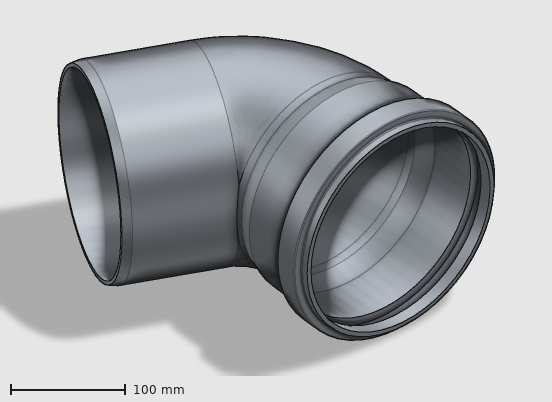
import cadquery as cq

BEND_ANGLE = 67.5
BEND_RADIUS = 95.0
PIPE_RADIUS = 200.5 / 2
PIPE_BORE_RADIUS = 189.5 / 2

SPIGOT_LENGTH = 107.5
CHAMFER_LENGTH = 9.0
CHAMFER_DEPTH = 2.0

SOCKET_RADIUS = 209.5 / 2
SOCKET_BORE_RADIUS = 201.0 / 2
RING_RADIUS = 225.8 / 2
GROOVE_RADIUS = 217.0 / 2
COLLAR_LENGTH = 9.5
FLARE_LENGTH = 16.5
BODY_LENGTH = 49.0
RING_LENGTH = 23.3
LIP_LENGTH = 8.0
INNER_FLARE_LENGTH = 20.5
RING_FILLET = 1.0

flare_start = COLLAR_LENGTH
flare_end = flare_start + FLARE_LENGTH
inner_flare_end = flare_start + INNER_FLARE_LENGTH
ring_start = flare_end + BODY_LENGTH
ring_end = ring_start + RING_LENGTH
socket_end = ring_end + LIP_LENGTH
socket_wall = SOCKET_RADIUS - SOCKET_BORE_RADIUS
groove_start = ring_start + socket_wall
groove_end = ring_end - socket_wall


def turned(profile):
    """Revolve a (radius, station) profile about the Y axis, closing it on the axis."""
    points = [(0, profile[0][1])] + profile + [(0, profile[-1][1])]
    return cq.Workplane("XY").polyline(points).close().revolve(360, (0, 0), (0, 1))


def spigot(profile):
    """Turned body ending at the start of the bend, where Y is zero."""
    return turned(profile).translate((0, -SPIGOT_LENGTH, 0))


def carry_round_bend(body):
    """Move a body from the start of the bend to its far end."""
    bend_center = (BEND_RADIUS, 0, 0)
    axis_end = (BEND_RADIUS, 0, 1)
    return body.rotate(bend_center, axis_end, -BEND_ANGLE)


def bend(radius):
    """Pipe disc swept round the bend, trimmed where it would cross the bend axis."""
    disc = cq.Sketch().circle(radius)
    if radius > BEND_RADIUS:
        trim_place = cq.Location((BEND_RADIUS + radius, 0, 0))
        beyond_axis = cq.Sketch().rect(2 * radius, 2 * radius).moved(trim_place)
        disc = disc - beyond_axis
    return (
        cq.Workplane("XZ")
        .placeSketch(disc)
        .revolve(BEND_ANGLE, (BEND_RADIUS, 0), (BEND_RADIUS, -1))
    )


outer_spigot = spigot([
    (PIPE_RADIUS - CHAMFER_DEPTH, 0),
    (PIPE_RADIUS, CHAMFER_LENGTH),
    (PIPE_RADIUS, SPIGOT_LENGTH),
])
socket_blank = turned([
    (PIPE_RADIUS, 0),
    (PIPE_RADIUS, flare_start),
    (SOCKET_RADIUS, flare_end),
    (SOCKET_RADIUS, ring_start),
    (RING_RADIUS, ring_start),
    (RING_RADIUS, ring_end),
    (SOCKET_RADIUS, ring_end),
    (SOCKET_RADIUS, socket_end),
])
reach = 2 * RING_RADIUS
ring_zone = cq.selectors.BoxSelector(
    (-reach, ring_start - RING_FILLET, -reach),
    (reach, ring_end + RING_FILLET, reach),
)
socket_turned = socket_blank.edges("%CIRCLE").edges(ring_zone).fillet(RING_FILLET)
outer_socket = carry_round_bend(socket_turned)
inner_spigot = spigot([
    (PIPE_BORE_RADIUS, 0),
    (PIPE_BORE_RADIUS, SPIGOT_LENGTH),
])
inner_socket = carry_round_bend(turned([
    (PIPE_BORE_RADIUS, 0),
    (PIPE_BORE_RADIUS, flare_start),
    (SOCKET_BORE_RADIUS, inner_flare_end),
    (SOCKET_BORE_RADIUS, groove_start),
    (GROOVE_RADIUS, groove_start),
    (GROOVE_RADIUS, groove_end),
    (SOCKET_BORE_RADIUS, groove_end),
    (SOCKET_BORE_RADIUS, socket_end),
]))

outer = bend(PIPE_RADIUS).union(outer_spigot).union(outer_socket)
inner = bend(PIPE_BORE_RADIUS).union(inner_spigot).union(inner_socket)
result = outer.cut(inner)